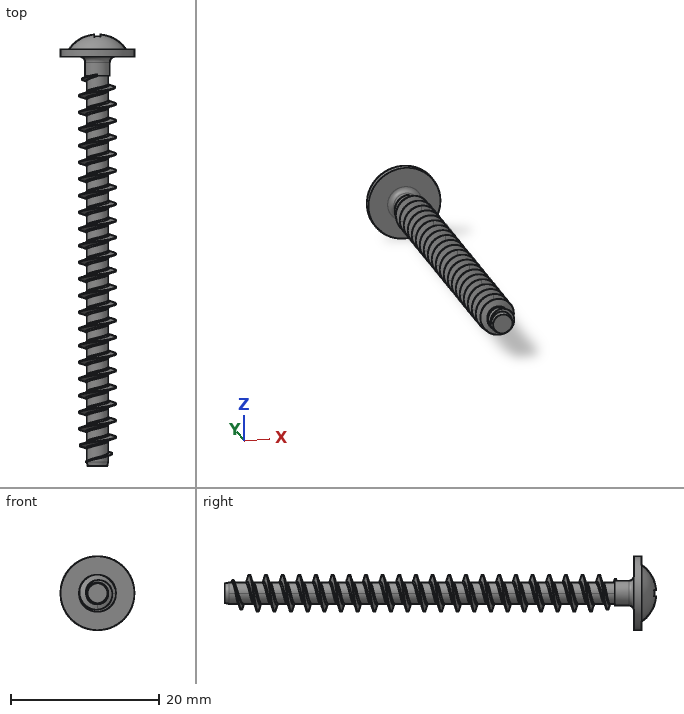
import cadquery as cq
import math


total_length = 58.15
flange_diameter = 10.0
flange_thickness = 1.05
head_height = 3.0
dome_base_diameter = 7.7

recess_span = 3.15
recess_wing_width = 0.8
recess_floor_above_underside = 1.3

shank_length = total_length - head_height
neck_radius = 1.7
neck_end = -2.55
neck_fillet_radius = 0.7
core_radius = 1.45
tip_radius = 1.35
tip_taper_length = 0.6

pitch_length = 49.35
pitch_turns = 22
pitch = pitch_length / pitch_turns
thread_turns = 23.25
thread_start = -54.6
start_angle = math.pi
thread_radius = 2.5
crest_width = 0.1
flank_angle = math.radians(15)

thread_segments = 31
steps_per_segment = 12

foot_radius = 1.55
foot_skirt_width = 0.45
embedded_radius = 1.35

tip_scale = 0.2
tip_runout_turns = 1.1
neck_scale = 0.55
neck_runout_turns = 1.0


def make_head_and_shank():
    """Revolve the dome, flange, neck and core as one body."""
    flange_radius = flange_diameter / 2
    dome_base_radius = dome_base_diameter / 2
    highest_corner_radius = recess_wing_width * math.sqrt(0.5)
    dome_centre = (
        head_height**2 + highest_corner_radius**2 - flange_thickness**2 - dome_base_radius**2
    ) / (2 * (head_height - flange_thickness))
    dome_radius = math.hypot(dome_base_radius, flange_thickness - dome_centre)
    half_angle = math.asin(dome_base_radius / dome_radius) / 2
    dome_middle = (
        dome_radius * math.sin(half_angle),
        dome_centre + dome_radius * math.cos(half_angle),
    )
    fillet_middle_offset = neck_fillet_radius * (1 - math.sqrt(0.5))
    profile = (
        cq.Workplane("XZ")
        .moveTo(0, dome_centre + dome_radius)
        .threePointArc(dome_middle, (dome_base_radius, flange_thickness))
        .lineTo(flange_radius, flange_thickness)
        .lineTo(flange_radius, 0)
        .lineTo(neck_radius + neck_fillet_radius, 0)
        .threePointArc(
            (neck_radius + fillet_middle_offset, -fillet_middle_offset),
            (neck_radius, -neck_fillet_radius),
        )
        .lineTo(neck_radius, neck_end)
        .lineTo(core_radius, neck_end)
        .lineTo(core_radius, -shank_length + tip_taper_length)
        .lineTo(tip_radius, -shank_length)
        .lineTo(0, -shank_length)
        .close()
    )
    return profile.revolve(360, (0, 0, 0), (0, 1, 0))


def make_recess():
    """Two crossing slots, tall enough to open through the top of the dome."""
    floor = cq.Workplane("XY").workplane(offset=recess_floor_above_underside)
    wing = floor.rect(recess_span, recess_wing_width).extrude(head_height)
    return wing.union(wing.rotate((0, 0, 0), (0, 0, 1), 90))


def section_scale(turn):
    """Size of the thread section, relative to full size, at a number of turns from the tip."""
    tip_limit = tip_scale + (1 - tip_scale) * turn / tip_runout_turns
    neck_limit = neck_scale + (1 - neck_scale) * (thread_turns - turn) / neck_runout_turns
    return min(1, tip_limit, neck_limit)


def corner_point(corner, turn):
    """Place one (radius, offset) corner of the thread section on its helix."""
    radius, offset = corner
    scale = section_scale(turn)
    corner_radius = embedded_radius + (radius - embedded_radius) * scale
    angle = start_angle + 2 * math.pi * turn
    return cq.Vector(
        corner_radius * math.cos(angle),
        corner_radius * math.sin(angle),
        thread_start + pitch * turn + offset * scale,
    )


def helical_edge(corner, first_turn, last_turn):
    """Right-handed curve traced by one corner of the thread section."""
    step = (last_turn - first_turn) / steps_per_segment
    turns = [first_turn + step * index for index in range(steps_per_segment + 1)]
    return cq.Edge.makeSpline([corner_point(corner, turn) for turn in turns])


def make_thread():
    """Close ruled helical flanks and two flat end caps into one ridge."""
    crest_half = crest_width / 2
    foot_half = crest_half + (thread_radius - foot_radius) * math.tan(flank_angle)
    skirt_half = foot_half + foot_skirt_width
    corners = [
        (embedded_radius, -skirt_half),
        (foot_radius, -foot_half),
        (thread_radius, -crest_half),
        (thread_radius, crest_half),
        (foot_radius, foot_half),
        (embedded_radius, skirt_half),
    ]
    faces = []
    segment_turns = thread_turns / thread_segments
    for segment in range(thread_segments):
        first_turn = segment * segment_turns
        edges = [helical_edge(corner, first_turn, first_turn + segment_turns) for corner in corners]
        neighbours = edges[1:] + edges[:1]
        faces += [cq.Face.makeRuledSurface(edge, other) for edge, other in zip(edges, neighbours)]
    for turn in (0, thread_turns):
        outline = [corner_point(corner, turn) for corner in corners]
        faces.append(cq.Face.makeFromWires(cq.Wire.makePolygon(outline, close=True)))
    return cq.Workplane(cq.Solid.makeSolid(cq.Shell.makeShell(faces)))


screw = make_head_and_shank().cut(make_recess()).union(make_thread())
result = screw.rotate((0, 0, 0), (1, 0, 0), -90)